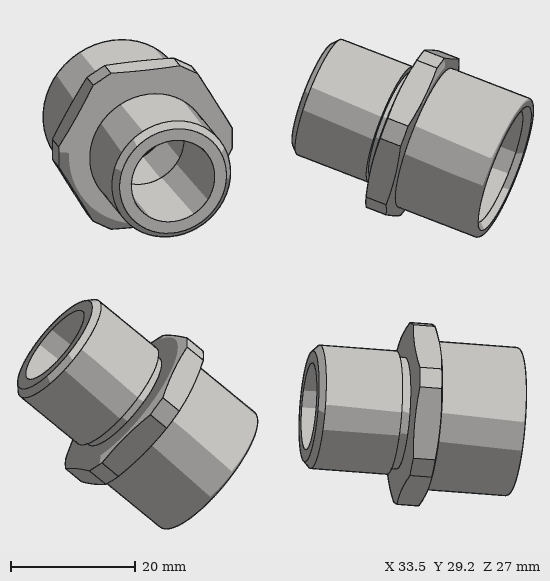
import cadquery as cq
import math

total_length = 33.5
sleeve_length = 14.0
hex_width = 4.5
neck_length = 1.5

sleeve_radius = 12.0
neck_radius = 9.0
spigot_radius = 9.98

hex_across_flats = 27.0
hex_across_trimmed_corners = 29.18
hex_face_radius = 12.95
hex_bevel_angle = 15.0
half_sector = 30.0

sleeve_edge_round = 0.5
spigot_chamfer = 1.0

bore_radius = 7.0
socket_radius = 9.65
socket_mouth_radius = 10.7
socket_depth = sleeve_length + hex_width / 2
socket_chamfer = socket_mouth_radius - socket_radius

hex_end = sleeve_length + hex_width
spigot_start = hex_end + neck_length


def cylinder(radius, start, end):
    """Cylinder about the X axis between two X positions."""
    return cq.Workplane("YZ").workplane(offset=start).circle(radius).extrude(end - start)


def hexagon(across_flats, first_flat_angle):
    """Hexagonal prism of the collar width, with a flat facing the given angle from +Y."""
    corner_diameter = across_flats / math.cos(math.radians(half_sector))
    return (
        cq.Workplane("YZ")
        .polygon(6, corner_diameter)
        .extrude(hex_width)
        .rotate((0, 0, 0), (1, 0, 0), first_flat_angle - half_sector)
        .translate((sleeve_length, 0, 0))
    )


def hex_collar():
    """Hexagon with flats up and down, trimmed corners and both faces bevelled."""
    trimmed = hexagon(hex_across_flats, half_sector).intersect(hexagon(hex_across_trimmed_corners, 0))
    envelope_radius = hex_across_flats / math.cos(math.radians(half_sector)) / 2
    bevel_run = (envelope_radius - hex_face_radius) * math.tan(math.radians(hex_bevel_angle))
    envelope = (
        cq.Workplane("XY")
        .moveTo(sleeve_length, 0)
        .lineTo(sleeve_length, hex_face_radius)
        .lineTo(sleeve_length + bevel_run, envelope_radius)
        .lineTo(hex_end - bevel_run, envelope_radius)
        .lineTo(hex_end, hex_face_radius)
        .lineTo(hex_end, 0)
        .close()
        .revolve(360, (0, 0, 0), (1, 0, 0))
    )
    return trimmed.intersect(envelope)


def socket():
    """Blind socket with a 45 degree lead-in at its mouth."""
    profile = (
        cq.Workplane("XY")
        .lineTo(0, socket_mouth_radius)
        .lineTo(socket_chamfer, socket_radius)
        .lineTo(socket_depth, socket_radius)
        .lineTo(socket_depth, 0)
        .close()
    )
    return profile.revolve(360, (0, 0, 0), (1, 0, 0))


sleeve = cylinder(sleeve_radius, 0, sleeve_length).faces("<X").edges().fillet(sleeve_edge_round)
neck = cylinder(neck_radius, hex_end, spigot_start)
spigot = cylinder(spigot_radius, spigot_start, total_length).faces(">X").edges().chamfer(spigot_chamfer)
bore = cylinder(bore_radius, 0, total_length)

result = sleeve.union(hex_collar()).union(neck).union(spigot).cut(socket()).cut(bore)